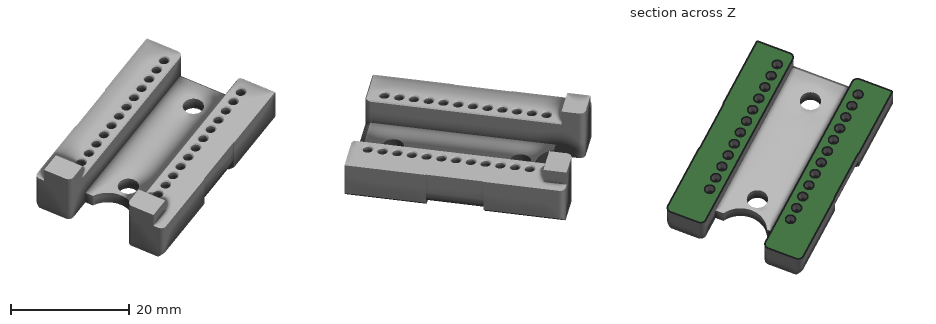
import cadquery as cq
import math

width = 25.2
height = 9.6

channel_width = 11.0
floor_thickness = 2.3
floor_front_setback = 5.0
floor_back_chamfer = 1.0

rail_height = 7.0
bottom_edge_chamfer = 1.0
rail_corner_radius = 1.0
channel_edge_chamfer = 0.2
right_back_chamfer = 0.2

stop_length = 4.0
stop_outer_inset = 1.9

pin_count = 12
pin_pitch = 2.54
pin_row_spacing = 15.0
pin_diameter = 1.6
pin_countersink_diameter = 2.0
pin_end_margin = 3.0

rail_deck_length = (pin_count - 1) * pin_pitch + 2 * pin_end_margin
length = stop_length + rail_deck_length

mount_diameter = 3.6
mount_end_margin = 6.0
mount_positions_y = (stop_length + mount_end_margin, length - mount_end_margin)

notch_radius = 4.5
notch_depth = 2.5

grip_length = 10.0
grip_back_setback = 14.0
grip_depth = 0.1
grip_radius = 3.0


def box(x_min, x_max, y_min, y_max, z_min, z_max):
    """Axis-aligned box given by its limits."""
    size = (x_max - x_min, y_max - y_min, z_max - z_min)
    return cq.Workplane("XY").box(*size, centered=False).translate((x_min, y_min, z_min))


def make_rail(has_back_chamfer):
    """Rail on the +X side, with its raised stop and three rounded vertical corners."""
    inner = channel_width / 2
    outer = width / 2
    deck = box(inner, outer, 0, length, 0, rail_height)
    deck = deck.edges(">X and <Z").chamfer(bottom_edge_chamfer)
    deck = deck.edges("<X and >Z").chamfer(channel_edge_chamfer)
    if has_back_chamfer:
        deck = deck.edges(">Y and >Z").chamfer(right_back_chamfer)
    stop = box(inner, outer - stop_outer_inset, 0, stop_length, 0, height)
    rail = deck.union(stop)

    outline = box(inner, outer, 0, length, 0, height)
    outline = outline.edges("|Z and (<Y or <X)").fillet(rail_corner_radius)
    return rail.intersect(outline)


def make_floor():
    """Channel floor, reaching under the rounded back corners of the rails."""
    reach = channel_width / 2 + rail_corner_radius
    floor = box(-reach, reach, floor_front_setback, length, 0, floor_thickness)
    return floor.edges(">Y and >Z").chamfer(floor_back_chamfer)


def make_notch():
    """Cylinder that cuts the notch into the front edge of the floor."""
    centre_y = floor_front_setback + notch_depth - notch_radius
    return cq.Workplane("XY").center(0, centre_y).circle(notch_radius).extrude(floor_thickness)


def make_right_grip():
    """Cutter for the shallow side recess, whose wall rounds under into the bottom face."""
    wall_x = width / 2 - grip_depth
    outer_x = width / 2
    mid_x = wall_x - grip_radius * (1 - math.cos(math.pi / 4))
    mid_z = grip_radius * (1 - math.sin(math.pi / 4))
    back_y = length - grip_back_setback
    return (
        cq.Workplane("XZ", origin=(0, back_y, 0))
        .moveTo(outer_x, rail_height)
        .lineTo(wall_x, rail_height)
        .lineTo(wall_x, grip_radius)
        .threePointArc((mid_x, mid_z), (wall_x - grip_radius, 0))
        .lineTo(outer_x, 0)
        .close()
        .extrude(grip_length)
    )


def make_pin_holes():
    """Both rows of through holes, each countersunk at the rail top."""
    hole_radius = pin_diameter / 2
    sink_radius = pin_countersink_diameter / 2
    sink_depth = sink_radius - hole_radius
    profile = [
        (0, 0),
        (hole_radius, 0),
        (hole_radius, rail_height - sink_depth),
        (sink_radius, rail_height),
        (0, rail_height),
    ]
    cutter = cq.Workplane("XZ").polyline(profile).close().revolve(360, (0, 0, 0), (0, 1, 0))
    first_y = stop_length + pin_end_margin
    holes = cq.Workplane("XY")
    for x in (-pin_row_spacing / 2, pin_row_spacing / 2):
        for index in range(pin_count):
            holes = holes.add(cutter.translate((x, first_y + index * pin_pitch, 0)))
    return holes.combine()


def make_mount_holes():
    """Through holes along the centre line of the floor."""
    centres = [(0, y) for y in mount_positions_y]
    return cq.Workplane("XY").pushPoints(centres).circle(mount_diameter / 2).extrude(floor_thickness)


right_rail = make_rail(has_back_chamfer=True)
left_rail = make_rail(has_back_chamfer=False).mirror("YZ")

right_grip = make_right_grip()

result = (
    left_rail.union(right_rail)
    .union(make_floor().cut(make_notch()))
    .cut(right_grip)
    .cut(right_grip.mirror("YZ"))
    .cut(make_pin_holes())
    .cut(make_mount_holes())
)